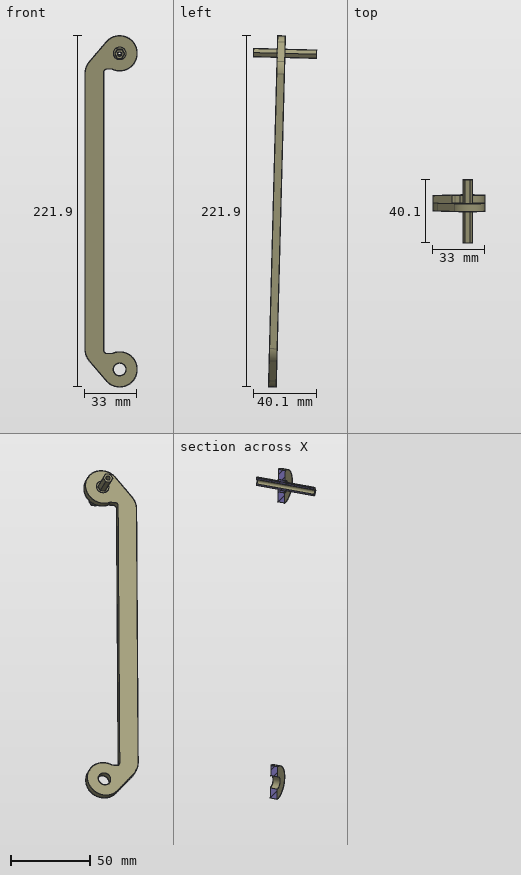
import cadquery as cq
import math

eye_spacing = 199.8
eye_radius = 11.0
hole_radius = 4.0
handle_thickness = 5.0
bar_width = 12.0
bar_offset = 22.0
neck_height = 10.0
neck_angle = 49.5
outer_bend_radius = 12.0
inner_bend_radius = 2.0
lean_angle = 1.5

spindle_length = 40.0
spindle_flats = 5.3
spindle_corners = spindle_flats / math.cos(math.radians(30))
bore_radius = 1.3



def make_handle():
    """Bar and eyes, with the two holes cut through."""
    outer_x = -bar_offset
    inner_x = outer_x + bar_width
    slope = math.radians(neck_angle)
    tangent_x = -eye_radius * math.sin(slope)
    tangent_z = eye_radius * math.cos(slope)
    corner_z = tangent_z - (tangent_x - outer_x) * math.tan(slope)
    joint_x = -math.sqrt(eye_radius**2 - neck_height**2)

    handle = (
        cq.Workplane("XZ")
        .moveTo(tangent_x, tangent_z)
        .threePointArc((eye_radius, 0), (joint_x, -neck_height))
        .lineTo(inner_x, -neck_height)
        .lineTo(inner_x, neck_height - eye_spacing)
        .lineTo(joint_x, neck_height - eye_spacing)
        .threePointArc((eye_radius, -eye_spacing), (tangent_x, -tangent_z - eye_spacing))
        .lineTo(outer_x, -corner_z - eye_spacing)
        .lineTo(outer_x, corner_z)
        .close()
        .extrude(-handle_thickness)
    )

    def bend_edges(x, z):
        """Select the edges across the thickness at a bend of both necks."""
        selected = handle.edges("|Y")
        middle_z = -eye_spacing / 2
        half_span = z - middle_z
        return selected.filter(
            lambda edge: math.isclose(edge.Center().x, x, abs_tol=0.0002)
            and math.isclose(abs(edge.Center().z - middle_z), half_span, abs_tol=0.0002)
        )

    handle = bend_edges(outer_x, corner_z).fillet(outer_bend_radius)
    handle = bend_edges(inner_x, -neck_height).fillet(inner_bend_radius)
    holes = (
        cq.Workplane("XZ")
        .pushPoints([(0, 0), (0, -eye_spacing)])
        .circle(hole_radius)
        .extrude(-handle_thickness)
    )
    return handle.cut(holes)


def make_bushing():
    """Round bushing with a hexagonal opening, filling the upper eye's hole."""
    return (
        cq.Workplane("XZ")
        .circle(hole_radius)
        .polygon(6, spindle_corners)
        .extrude(-handle_thickness)
    )


def make_spindle():
    """Hexagonal tube with corners on the X axis."""
    return (
        cq.Workplane("XZ")
        .polygon(6, spindle_corners)
        .circle(bore_radius)
        .extrude(spindle_length / 2, both=True)
    )


def lean(body):
    """Tilt a body about the X axis, moving the lower eye towards +Y."""
    return body.rotate((0, 0, 0), (1, 0, 0), lean_angle)


handle = lean(make_handle())
bushing = lean(make_bushing())
spindle = lean(make_spindle())

result = cq.Compound.makeCompound([handle.val(), bushing.val(), spindle.val()])